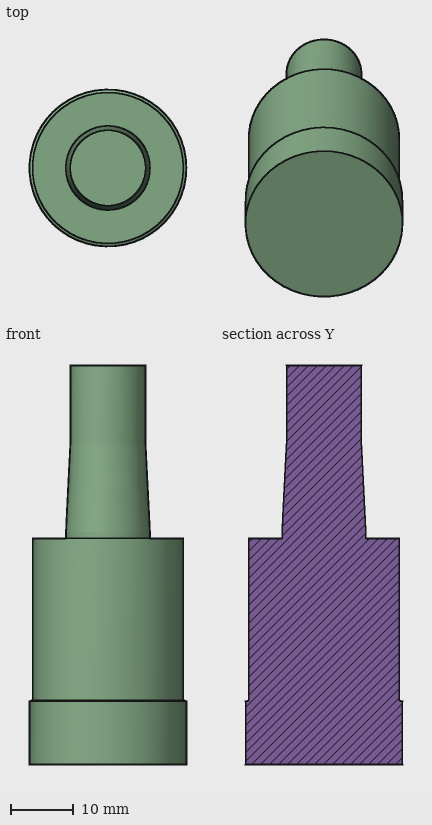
import cadquery as cq

collar_diameter = 25.0
body_diameter = 24.0
neck_diameter = 13.4
pin_diameter = 12.0

total_length = 63.5
collar_length = 10.05
ledge_height = 0.2
body_top = 36.0
neck_ring_length = 1.0
pin_length = 12.5
taper_length = total_length - pin_length - neck_ring_length - body_top


def cylinder(diameter, bottom, length):
    """Cylinder on the Z axis, standing on the height `bottom`."""
    return cq.Workplane("XY").workplane(offset=bottom).circle(diameter / 2).extrude(length)


def taper(bottom_diameter, top_diameter, bottom, length):
    """Cone frustum on the Z axis, standing on the height `bottom`."""
    return (
        cq.Workplane("XY")
        .workplane(offset=bottom)
        .circle(bottom_diameter / 2)
        .workplane(offset=length)
        .circle(top_diameter / 2)
        .loft(ruled=True)
    )


body_bottom = collar_length + ledge_height
taper_bottom = body_top + neck_ring_length
pin_bottom = taper_bottom + taper_length

collar = cylinder(collar_diameter, 0, collar_length)
ledge = taper(collar_diameter, body_diameter, collar_length, ledge_height)
body = cylinder(body_diameter, body_bottom, body_top - body_bottom)
neck_ring = cylinder(neck_diameter, body_top, neck_ring_length)
neck_taper = taper(neck_diameter, pin_diameter, taper_bottom, taper_length)
pin = cylinder(pin_diameter, pin_bottom, pin_length)

result = collar.union(ledge).union(body).union(neck_ring).union(neck_taper).union(pin)